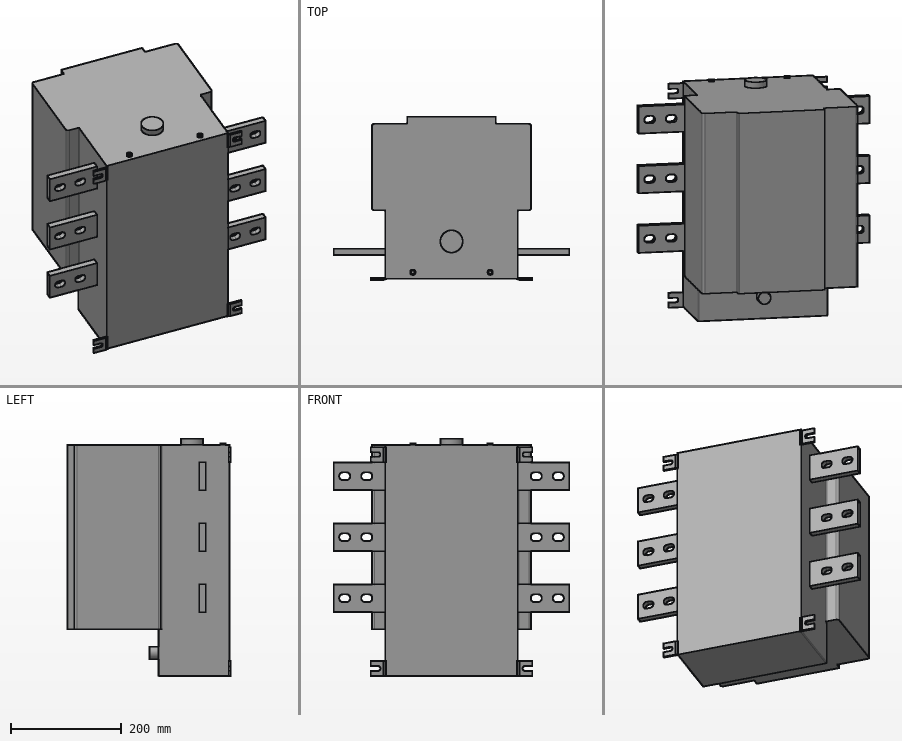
import cadquery as cq


overall_height = 428.5

base_width = 240.0
base_depth = 128.5
body_height = 417.5

cover_width = 288.0
cover_bottom = 84.5
cover_front = 124.0
cover_back = 280.5
cover_corner_radius = 4.7

panel_width = 160.5
panel_back = 293.2

edge_radius = 1.7
root_radius = 1.5

terminal_span = 426.0
terminal_height = 50.0
terminal_thickness = 12.0
terminal_front = 43.0
terminal_pitch = 110.0
terminal_count = 3
top_terminal_z = 361.0
terminal_slot_length = 19.7
terminal_slot_width = 13.7
terminal_slot_pitch = 40.0
terminal_slot_edge_distance = 20.0

foot_span = 292.5
foot_height = 27.5
foot_thickness = 4.0
foot_front = -2.0
foot_lip_height = 1.0
foot_bend_width = 3.0
foot_inner_x = 118.0
top_foot_drop = 4.0
foot_slot_width = 8.5
foot_slot_length = 17.5

button_diameter = 40.5
button_y = 67.7
button_height = overall_height - body_height

screw_x = 70.0
screw_y = 12.0
screw_head_diameter = 10.0
screw_head_height = 3.0
screw_socket_diameter = 6.5
screw_socket_depth = 1.7

stub_diameter = 22.7
stub_z = 41.5
stub_length = 16.5


def block(x_min, x_max, y_min, y_max, z_min, z_max):
    """Box given by its limits along each axis."""
    size = (x_max - x_min, y_max - y_min, z_max - z_min)
    return cq.Workplane("XY").box(*size, centered=False).translate((x_min, y_min, z_min))


def make_root_fillet(x, y, x_direction, y_direction):
    """Concave fillet along Z, filling the inner corner at (x, y) towards the given directions."""
    reach_x = x + x_direction * root_radius
    reach_y = y + y_direction * root_radius
    corner = block(
        min(x, reach_x), max(x, reach_x), min(y, reach_y), max(y, reach_y), cover_bottom, body_height
    )
    rounding = (
        cq.Workplane("XY", origin=(reach_x, reach_y, cover_bottom))
        .circle(root_radius)
        .extrude(body_height - cover_bottom)
    )
    return corner.cut(rounding)


def make_housing():
    base = block(-base_width / 2, base_width / 2, 0, base_depth, 0, body_height)
    cover = block(-cover_width / 2, cover_width / 2, cover_front, cover_back, cover_bottom, body_height)
    cover = cover.edges("|Z").fillet(cover_corner_radius)
    panel = block(-panel_width / 2, panel_width / 2, cover_front, panel_back, cover_bottom, body_height)
    panel = panel.edges("|Z and >Y").fillet(edge_radius)
    base = base.edges("(|Z and >Y) or (<Z and (not <Y))").fillet(edge_radius)
    housing = base.union(cover).union(panel)
    for side in (-1, 1):
        housing = housing.union(make_root_fillet(side * base_width / 2, cover_front, side, -1))
        housing = housing.union(make_root_fillet(side * panel_width / 2, cover_back, side, 1))
    return housing


def make_terminal(center_z):
    """One bar through the housing, so that both ends stick out as terminals."""
    bar = block(
        -terminal_span / 2, terminal_span / 2,
        terminal_front, terminal_front + terminal_thickness,
        center_z - terminal_height / 2, center_z + terminal_height / 2,
    )
    outer_slot_x = terminal_span / 2 - terminal_slot_edge_distance
    inner_slot_x = outer_slot_x - terminal_slot_pitch
    slot_centers = [(side * x, center_z) for side in (-1, 1) for x in (outer_slot_x, inner_slot_x)]
    slots = (
        cq.Workplane("XZ", origin=(0, terminal_front + terminal_thickness, 0))
        .pushPoints(slot_centers)
        .slot2D(terminal_slot_length, terminal_slot_width)
        .extrude(terminal_thickness)
    )
    return bar.cut(slots)


def make_foot(bottom_z):
    """Right-hand foot: a plate with an open slot, its front sloping down to a thin lip on the housing."""
    outer_x = foot_span / 2
    foot_back = foot_front + foot_thickness
    plate = (
        cq.Workplane("XY", origin=(0, 0, bottom_z))
        .moveTo(outer_x, foot_front)
        .lineTo(base_width / 2 + foot_bend_width, foot_front)
        .lineTo(base_width / 2, -foot_lip_height)
        .lineTo(foot_inner_x, -foot_lip_height)
        .lineTo(foot_inner_x, foot_back)
        .lineTo(outer_x, foot_back)
        .close()
        .extrude(foot_height)
    )
    slot = (
        cq.Workplane("XZ", origin=(outer_x, foot_back, bottom_z + foot_height / 2))
        .slot2D(2 * foot_slot_length, foot_slot_width)
        .extrude(foot_thickness)
    )
    return plate.cut(slot)


def make_button():
    return (
        cq.Workplane("XY", origin=(0, button_y, body_height))
        .circle(button_diameter / 2)
        .extrude(button_height)
    )


def make_screw_head(x):
    return (
        cq.Workplane("XY", origin=(x, screw_y, body_height))
        .circle(screw_head_diameter / 2)
        .extrude(screw_head_height)
        .faces(">Z")
        .workplane()
        .hole(screw_socket_diameter, screw_socket_depth)
    )


def make_stub():
    return (
        cq.Workplane("XZ", origin=(0, base_depth + stub_length, stub_z))
        .circle(stub_diameter / 2)
        .extrude(stub_length)
    )


result = make_housing().union(make_button()).union(make_stub())
for index in range(terminal_count):
    result = result.union(make_terminal(top_terminal_z - index * terminal_pitch))
for foot_bottom in (0, body_height - top_foot_drop - foot_height):
    foot = make_foot(foot_bottom)
    result = result.union(foot).union(foot.mirror("YZ"))
for side in (-1, 1):
    result = result.union(make_screw_head(side * screw_x))